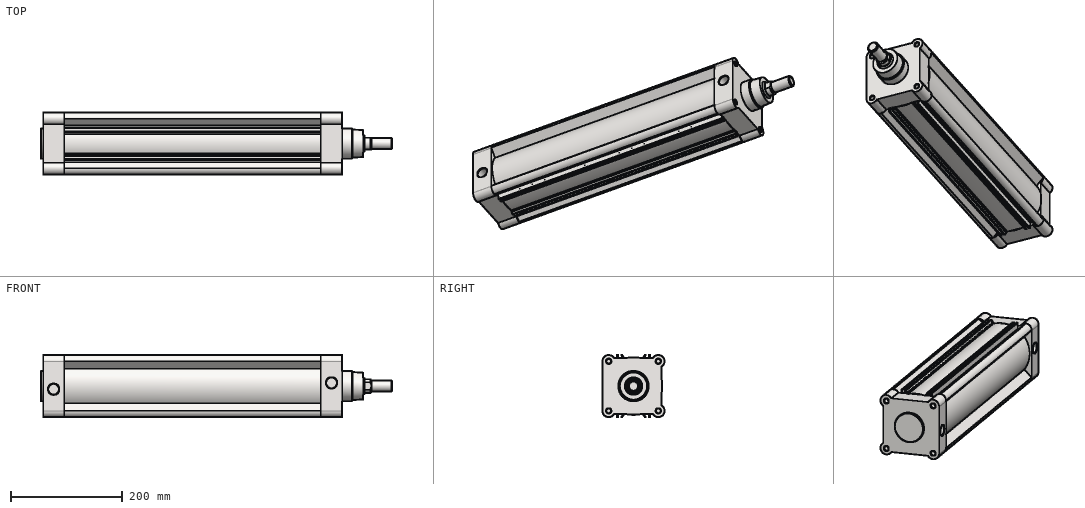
import cadquery as cq
import math

REAR_BOSS_LENGTH = 4.5
CAP_LENGTH = 38.0
BARREL_LENGTH = 462.0
TOTAL_LENGTH = 633.0
BARREL_START = REAR_BOSS_LENGTH + CAP_LENGTH
BARREL_END = BARREL_START + BARREL_LENGTH
FRONT_FACE = BARREL_END + CAP_LENGTH

OUTER_WIDTH = 112.0
HALF_WIDTH = OUTER_WIDTH / 2
CORNER_RADIUS = 11.5
CORNER_CENTRE = HALF_WIDTH - CORNER_RADIUS
CORNER_DIAGONAL = CORNER_CENTRE + CORNER_RADIUS * math.sqrt(0.5)

CAP_HALF_HEIGHT = 50.5
CAP_BACK_Y = 50.5
SCREW_HOLE_RADIUS = 4.1
SCREW_HOLE_DEPTH = 16.0
PORT_RADIUS = 9.5
PORT_DEPTH = 19.0
PORT_OFFSET = 6.0
BOSS_DIAMETER = 55.0
BOSS_RADIUS = BOSS_DIAMETER / 2
REAR_BOSS_CHAMFER = 0.95
HOLE_CHAMFER = 0.95

FRONT_BOSS_LENGTH = 17.0
STEP_LENGTH = 2.0
NOSE_LENGTH = 21.0
NOSE_BASE_DIAMETER = 51.0
NOSE_BASE_RADIUS = NOSE_BASE_DIAMETER / 2
NOSE_TIP_DIAMETER = 49.0
NOSE_TIP_RADIUS = NOSE_TIP_DIAMETER / 2
LIP_LENGTH = 3.0
LIP_BASE_RADIUS = 16.0
LIP_TIP_RADIUS = 13.0
BOSS_END = FRONT_FACE + FRONT_BOSS_LENGTH
NOSE_END = BOSS_END + NOSE_LENGTH
LIP_END = NOSE_END + LIP_LENGTH

TUBE_DIAMETER = 104.5
TUBE_RADIUS = TUBE_DIAMETER / 2
VALLEY_DROP = 11.5
VALLEY_FLOOR = HALF_WIDTH - VALLEY_DROP
VALLEY_OUTER_Y = CORNER_CENTRE - VALLEY_DROP
LOBE_FOOT = 16.0
RAIL_ROOT = 41.0
GROOVE_FLOOR = 49.0
OUTER_RAIL_INNER_Y = 27.0
OUTER_RAIL_OUTER_Y = 30.0
INNER_RAIL_ROOT_Y = 17.0
INNER_RAIL_BEND = 51.0
INNER_RAIL_TIP_Y = 20.0
INNER_RAIL_THICKNESS = 2.2

ROD_RADIUS = 12.5
THREAD_RADIUS = 10.0
FLAT_HALF_WIDTH = 11.0
SHOULDER_X = 595.5
SHOULDER_CHAMFER = ROD_RADIUS - THREAD_RADIUS
THREAD_CHAMFER = 2.0


def cap_block(start_x):
    """Cap with four round corners, flush at -Y and recessed on the other three sides."""
    c = CORNER_CENTRE
    dip_z = c - math.sqrt(CORNER_RADIUS**2 - (CAP_HALF_HEIGHT - c) ** 2)
    dip_y = c - math.sqrt(CORNER_RADIUS**2 - (CAP_BACK_Y - c) ** 2)
    diagonal = CORNER_DIAGONAL
    return (
        cq.Workplane("YZ", origin=(start_x, 0, 0))
        .moveTo(-HALF_WIDTH, -c)
        .lineTo(-HALF_WIDTH, c)
        .threePointArc((-diagonal, diagonal), (-dip_z, CAP_HALF_HEIGHT))
        .lineTo(dip_z, CAP_HALF_HEIGHT)
        .threePointArc((diagonal, diagonal), (CAP_BACK_Y, dip_y))
        .lineTo(CAP_BACK_Y, -dip_y)
        .threePointArc((diagonal, -diagonal), (dip_z, -CAP_HALF_HEIGHT))
        .lineTo(-dip_z, -CAP_HALF_HEIGHT)
        .threePointArc((-diagonal, -diagonal), (-HALF_WIDTH, -c))
        .close()
        .extrude(CAP_LENGTH)
    )


def chamfered_hole(mouth, direction, radius, depth):
    """Blind hole cutter from its mouth along the given direction, widened by a chamfer at the mouth."""
    hole = cq.Solid.makeCylinder(radius, depth, mouth, direction)
    countersink = cq.Solid.makeCone(radius + HOLE_CHAMFER, radius, HOLE_CHAMFER, mouth, direction)
    return cq.Workplane(hole).union(cq.Workplane(countersink))


def drill_screw_holes(cap, face_x, inward):
    """Drill the four corner screw holes from the outer end face; inward is +1 or -1 along X."""
    for y in (-CORNER_CENTRE, CORNER_CENTRE):
        for z in (-CORNER_CENTRE, CORNER_CENTRE):
            mouth = cq.Vector(face_x, y, z)
            cap = cap.cut(chamfered_hole(mouth, cq.Vector(inward, 0, 0), SCREW_HOLE_RADIUS, SCREW_HOLE_DEPTH))
    return cap


def drill_port(cap, cap_start_x, z):
    """Drill the air port into the -Y face, halfway along the cap."""
    mouth = cq.Vector(cap_start_x + CAP_LENGTH / 2, -HALF_WIDTH, z)
    return cap.cut(chamfered_hole(mouth, cq.Vector(0, 1, 0), PORT_RADIUS, PORT_DEPTH))


def make_rear_cap():
    """Rear cap with a chamfered centring boss."""
    boss = cq.Workplane("YZ").circle(BOSS_RADIUS).extrude(REAR_BOSS_LENGTH)
    boss = boss.faces("<X").chamfer(REAR_BOSS_CHAMFER)
    cap = cap_block(REAR_BOSS_LENGTH).union(boss)
    cap = drill_screw_holes(cap, REAR_BOSS_LENGTH, 1)
    return drill_port(cap, REAR_BOSS_LENGTH, -PORT_OFFSET)


def make_front_cap():
    """Front cap with a stepped, tapering nose bored through for the rod."""
    nose = (
        cq.Workplane("XY")
        .moveTo(BARREL_END, 0)
        .lineTo(BARREL_END, BOSS_RADIUS)
        .lineTo(BOSS_END, BOSS_RADIUS)
        .lineTo(BOSS_END + STEP_LENGTH, NOSE_BASE_RADIUS)
        .lineTo(NOSE_END, NOSE_TIP_RADIUS)
        .lineTo(NOSE_END, LIP_BASE_RADIUS)
        .lineTo(LIP_END, LIP_TIP_RADIUS)
        .lineTo(LIP_END, 0)
        .close()
        .revolve(360, (0, 0, 0), (1, 0, 0))
    )
    rod_bore = (
        cq.Workplane("YZ", origin=(BARREL_END, 0, 0))
        .circle(ROD_RADIUS)
        .extrude(LIP_END - BARREL_END)
    )
    cap = cap_block(BARREL_END).union(nose).cut(rod_bore)
    cap = drill_screw_holes(cap, FRONT_FACE, -1)
    return drill_port(cap, BARREL_END, PORT_OFFSET)


def barrel_prism(points):
    """Prism along the whole barrel with the given (y, z) outline."""
    return cq.Workplane("YZ", origin=(BARREL_START, 0, 0)).polyline(points).close().extrude(BARREL_LENGTH)


def barrel_quarter():
    """Corner lobe and sensor rails of the +Y, +Z quarter of the barrel."""
    c = CORNER_CENTRE
    diagonal = CORNER_DIAGONAL
    lobe = (
        cq.Workplane("YZ", origin=(BARREL_START, 0, 0))
        .moveTo(HALF_WIDTH, c)
        .threePointArc((diagonal, diagonal), (c, HALF_WIDTH))
        .lineTo(c - LOBE_FOOT, HALF_WIDTH - LOBE_FOOT)
        .lineTo(HALF_WIDTH - LOBE_FOOT, c - LOBE_FOOT)
        .close()
        .extrude(BARREL_LENGTH)
    )
    rails = barrel_prism(
        [
            (INNER_RAIL_ROOT_Y, RAIL_ROOT),
            (INNER_RAIL_ROOT_Y, INNER_RAIL_BEND),
            (INNER_RAIL_TIP_Y, HALF_WIDTH),
            (INNER_RAIL_TIP_Y + INNER_RAIL_THICKNESS, HALF_WIDTH),
            (INNER_RAIL_ROOT_Y + INNER_RAIL_THICKNESS, INNER_RAIL_BEND),
            (INNER_RAIL_ROOT_Y + INNER_RAIL_THICKNESS, GROOVE_FLOOR),
            (OUTER_RAIL_INNER_Y, GROOVE_FLOOR),
            (OUTER_RAIL_INNER_Y, HALF_WIDTH),
            (OUTER_RAIL_OUTER_Y, HALF_WIDTH),
            (OUTER_RAIL_OUTER_Y, VALLEY_FLOOR),
            (VALLEY_OUTER_Y, VALLEY_FLOOR),
            (VALLEY_OUTER_Y, RAIL_ROOT),
        ]
    )
    return lobe.union(rails)


def make_barrel():
    """Extruded barrel: a round body with four corner lobes and sensor rails above and below."""
    tube = cq.Workplane("YZ", origin=(BARREL_START, 0, 0)).circle(TUBE_RADIUS).extrude(BARREL_LENGTH)
    quarter = barrel_quarter()
    upper_half = quarter.union(quarter.mirror("XZ"))
    return tube.union(upper_half).union(upper_half.mirror("XY"))


def make_rod():
    """Piston rod with two wrench flats and a reduced threaded end."""
    rod = (
        cq.Workplane("YZ", origin=(BARREL_END, 0, 0))
        .circle(ROD_RADIUS)
        .extrude(SHOULDER_X - BARREL_END)
        .faces(">X")
        .chamfer(SHOULDER_CHAMFER)
    )
    flat_length = SHOULDER_X - LIP_END
    for side in (-1, 1):
        flat = cq.Workplane("XY").box(flat_length, ROD_RADIUS, 2 * ROD_RADIUS).translate(
            (SHOULDER_X - flat_length / 2, side * (FLAT_HALF_WIDTH + ROD_RADIUS / 2), 0)
        )
        rod = rod.cut(flat)
    thread = (
        cq.Workplane("YZ", origin=(SHOULDER_X, 0, 0))
        .circle(THREAD_RADIUS)
        .extrude(TOTAL_LENGTH - SHOULDER_X)
        .faces(">X")
        .chamfer(THREAD_CHAMFER)
    )
    return rod.union(thread)


rear_cap = make_rear_cap().solids().val()
barrel = make_barrel().solids().val()
front_cap = make_front_cap().solids().val()
rod = make_rod().solids().val()

result = cq.Compound.makeCompound([rear_cap, barrel, front_cap, rod])